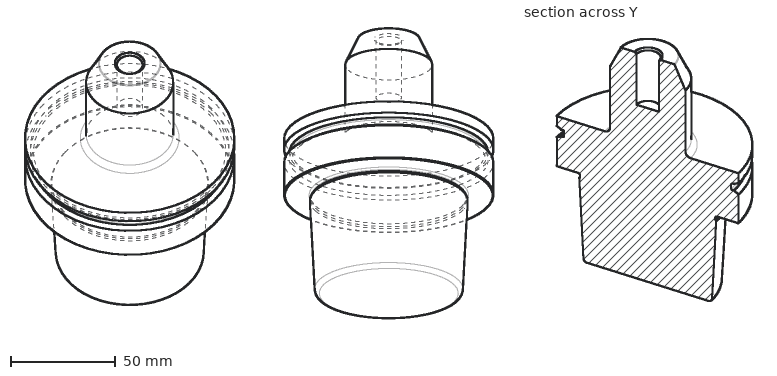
import cadquery as cq
import math


shank_length = 49.95
shank_top_radius = 37.7
shank_taper = 1 / 20
shank_end_fillet = 2.25
neck_radius = 37.2
neck_root_fillet = 0.9
neck_end = 1.7
neck_flare_end = 2.6

flange_radius = 50.0
flange_height = 29.0
flange_edge_chamfer = 0.4
groove_floor_radius = 46.0
groove_center = 20.0
groove_mouth_width = 6.5
groove_wall_angle = 30.0
groove_floor_width = 3.6
groove_floor_fillet = 0.6

boss_radius = 20.8
boss_top = 79.95
boss_root_fillet = 2.8
tip_cone_height = 13.0
tip_cone_angle = 25.0
tip_edge_fillet = 0.5

hole_radius = 6.1
hole_depth = 30.0
hole_chamfer = 1.0


def revolve_profile(points):
    """Revolve a closed (radius, height) outline about the Z axis."""
    return cq.Workplane("XZ").polyline(points).close().revolve(360, (0, 0), (0, 1))


def make_shank():
    end_radius = shank_top_radius - shank_taper * (shank_length - neck_flare_end)
    shank = revolve_profile([
        (0, 0),
        (neck_radius, 0),
        (neck_radius, -neck_end),
        (shank_top_radius, -neck_flare_end),
        (end_radius, -shank_length),
        (0, -shank_length),
    ])
    return shank.faces("<Z").edges().fillet(shank_end_fillet)


def make_flange():
    flange = cq.Workplane("XY").circle(flange_radius).extrude(flange_height)
    flange = flange.faces("<Z").edges().chamfer(flange_edge_chamfer)
    return flange.cut(make_groove())


def make_groove():
    """Square-shouldered channel with a filleted floor, opening into a V-shaped mouth."""
    mouth_half = groove_mouth_width / 2
    floor_half = groove_floor_width / 2
    wall_run = (mouth_half - floor_half) / math.tan(math.radians(groove_wall_angle))
    shoulder_radius = flange_radius - wall_run
    groove = revolve_profile([
        (groove_floor_radius, groove_center - floor_half),
        (shoulder_radius, groove_center - floor_half),
        (flange_radius, groove_center - mouth_half),
        (flange_radius, groove_center + mouth_half),
        (shoulder_radius, groove_center + floor_half),
        (groove_floor_radius, groove_center + floor_half),
    ])
    floor_edges = groove.edges(cq.selectors.RadiusNthSelector(0))
    return floor_edges.fillet(groove_floor_fillet)


def make_boss():
    tip_radius = boss_radius - tip_cone_height * math.tan(math.radians(tip_cone_angle))
    boss = revolve_profile([
        (0, flange_height),
        (boss_radius, flange_height),
        (boss_radius, boss_top - tip_cone_height),
        (tip_radius, boss_top),
        (0, boss_top),
    ])
    return boss.faces(">Z").edges().fillet(tip_edge_fillet)


def make_root_fillet(cylinder_radius, fillet_radius, face_height, direction):
    """Disc with a concave rim that fills the corner between a cylinder and a flange face.

    The direction is +1 above the face and -1 below it.
    """
    outer_radius = cylinder_radius + fillet_radius
    end_height = face_height + direction * fillet_radius
    arc_reach = fillet_radius * math.sqrt(0.5)
    arc_middle = (outer_radius - arc_reach, end_height - direction * arc_reach)
    outline = (
        cq.Workplane("XZ")
        .moveTo(0, face_height)
        .lineTo(outer_radius, face_height)
        .threePointArc(arc_middle, (cylinder_radius, end_height))
        .lineTo(0, end_height)
        .close()
    )
    return outline.revolve(360, (0, 0), (0, 1))


def make_hole():
    return revolve_profile([
        (0, boss_top - hole_depth),
        (hole_radius, boss_top - hole_depth),
        (hole_radius, boss_top - hole_chamfer),
        (hole_radius + hole_chamfer, boss_top),
        (0, boss_top),
    ])


body = make_shank().union(make_flange()).union(make_boss())
body = body.union(make_root_fillet(boss_radius, boss_root_fillet, flange_height, 1))
body = body.union(make_root_fillet(neck_radius, neck_root_fillet, 0, -1))
result = body.cut(make_hole())